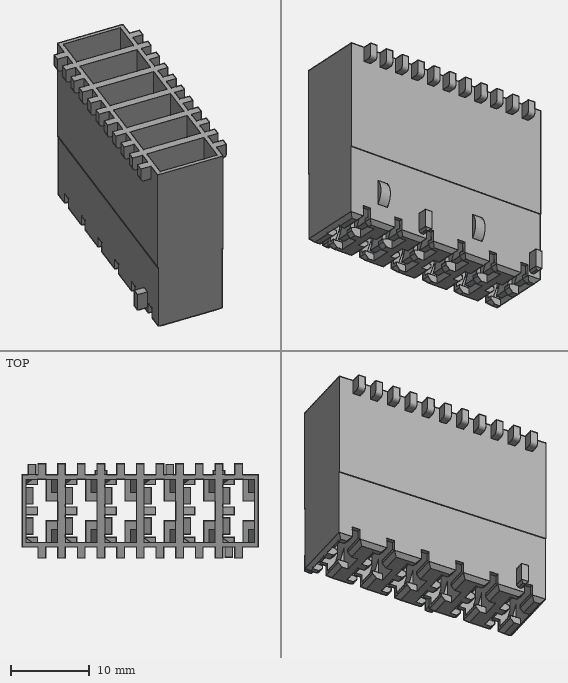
import cadquery as cq

CELL_COUNT = 6
CELL_PITCH = 5.0
PARTITION = 1.0
CELL_LENGTH = CELL_PITCH - PARTITION
CELL_WIDTH = 8.0
HEIGHT = 25.0
LENGTH = CELL_COUNT * CELL_PITCH
UPPER_WIDTH = 9.2
LOWER_WIDTH = 9.0
STEP_Z = 10.0
FLOOR_TOP = 1.0
BOTTOM_CHAMFER = 0.55

SLOT_WIDTH = 1.1
SLOT_HEIGHT = 2.05

SMALL_OPENING_INNER = 0.5
SMALL_OPENING_OUTER = 3.35
LARGE_OPENING_HALF = 1.25

LATCH_DEPTH = 0.9
LATCH_HEIGHT = 3.4
LATCH_LENGTH = 2.15
GUIDE_DEPTH = 0.75
GUIDE_HEIGHT = 3.0
GUIDE_LENGTH = 1.65
BAR_RISE = 0.5
GUSSET_X = 0.75
GUSSET_Y = 0.55
GUSSET_Z = 2.2

RIB_PITCH = CELL_PITCH / 2
RIB_COUNT = 2 * CELL_COUNT - 1
RIB_WIDTH = 1.0
RIB_HEIGHT = 2.05
RIB_FILLET = 0.5
RIB_REACH = 6.0

PEG_WIDTH = 1.0
PEG_BOTTOM = 1.0
PEG_TOP = 3.8
PEG_REACH = 5.9
PEG_CHAMFER = 0.3
BACK_PEG_X = (-13.75, 3.75)
FRONT_PEG_X = 11.25
BUMP_X = (-5.0, 10.0)
BUMP_LENGTH = 1.5
BUMP_Z = 4.75
BUMP_RADIUS = 2.6
BUMP_REACH = 5.15

FRONT = -1
BACK = 1
CELL_CENTERS = [(i - (CELL_COUNT - 1) / 2) * CELL_PITCH for i in range(CELL_COUNT)]


def box(x0, x1, y0, y1, z0, z1):
    """Axis-aligned box given by its limits; the Y limits may come in either order."""
    low, high = sorted((y0, y1))
    return cq.Workplane("XY").box(x1 - x0, high - low, z1 - z0, centered=False).translate((x0, low, z0))


def wedge(corner_x, base_z, depth, height, y0, y1):
    """Right-angled wedge along Y with its upright face at corner_x; depth is signed along X."""
    low, high = sorted((y0, y1))
    profile = [(corner_x, base_z), (corner_x + depth, base_z), (corner_x, base_z + height)]
    return cq.Workplane("XZ").polyline(profile).close().extrude(low - high).translate((0, low, 0))


def corner_gusset(x, y, side):
    """Three-sided pyramid filling the floor corner at (x, y)."""
    base = [
        (x, y, FLOOR_TOP),
        (x + GUSSET_X, y, FLOOR_TOP),
        (x, y - side * GUSSET_Y, FLOOR_TOP),
    ]
    apex = (x, y, FLOOR_TOP + GUSSET_Z)
    triangles = [base] + [[base[i], base[(i + 1) % 3], apex] for i in range(3)]
    faces = []
    for triangle in triangles:
        corners = [cq.Vector(*point) for point in triangle]
        faces.append(cq.Face.makeFromWires(cq.Wire.makePolygon(corners, close=True)))
    return cq.Workplane(obj=cq.Solid.makeSolid(cq.Shell.makeShell(faces)))


def housing():
    """Outer block with its small step, standing on chamfered feet between the slots."""
    end = LENGTH / 2
    upper = box(-end, end, -UPPER_WIDTH / 2, UPPER_WIDTH / 2, STEP_Z, HEIGHT)
    lower = box(-end, end, -LOWER_WIDTH / 2, LOWER_WIDTH / 2, SLOT_HEIGHT, STEP_Z)
    body = upper.union(lower)
    foot_starts = [-end] + [x + SLOT_WIDTH / 2 for x in CELL_CENTERS]
    foot_ends = [x - SLOT_WIDTH / 2 for x in CELL_CENTERS] + [end]
    for x0, x1 in zip(foot_starts, foot_ends):
        foot = box(x0, x1, -LOWER_WIDTH / 2, LOWER_WIDTH / 2, 0, SLOT_HEIGHT)
        body = body.union(foot.faces("<Z").chamfer(BOTTOM_CHAMFER))
    return body


def cell_cavity(x):
    """Blocks to remove for one cell: the space above the floor and three openings through the floor."""
    left = x - CELL_LENGTH / 2
    right = x + CELL_LENGTH / 2
    openings = [
        box(left, right, -CELL_WIDTH / 2, CELL_WIDTH / 2, FLOOR_TOP, HEIGHT),
        box(x, right, -LARGE_OPENING_HALF, LARGE_OPENING_HALF, 0, FLOOR_TOP),
    ]
    for side in (FRONT, BACK):
        openings.append(box(left, x, side * SMALL_OPENING_INNER, side * SMALL_OPENING_OUTER, 0, FLOOR_TOP))
    return openings


def cell_details(x):
    """Sloped bar, latches, guides and corner gussets on the floor and walls of one cell."""
    left = x - CELL_LENGTH / 2
    right = x + CELL_LENGTH / 2
    bar_depth = (CELL_LENGTH - SLOT_WIDTH) / 2
    details = [wedge(left, FLOOR_TOP, bar_depth, BAR_RISE, -SMALL_OPENING_INNER, SMALL_OPENING_INNER)]
    latch_middle = (SMALL_OPENING_INNER + SMALL_OPENING_OUTER) / 2
    latch_start = latch_middle - LATCH_LENGTH / 2
    for side in (FRONT, BACK):
        wall_y = side * CELL_WIDTH / 2
        latch_inner = side * latch_start
        latch_outer = latch_inner + side * LATCH_LENGTH
        details.append(wedge(left, FLOOR_TOP, LATCH_DEPTH, LATCH_HEIGHT, latch_inner, latch_outer))
        guide_end = wall_y - side * GUIDE_LENGTH
        details.append(wedge(right, FLOOR_TOP, -GUIDE_DEPTH, GUIDE_HEIGHT, guide_end, wall_y))
        details.append(corner_gusset(left, wall_y, side))
    return details


def rim_rib(x, side):
    """Short rib at the rim, rounded along its lower outer edge."""
    wall_y = side * CELL_WIDTH / 2
    half = RIB_WIDTH / 2
    rib = box(x - half, x + half, wall_y, side * RIB_REACH, HEIGHT - RIB_HEIGHT, HEIGHT)
    outer_face = ">Y" if side == BACK else "<Y"
    return rib.faces(outer_face).edges("<Z").fillet(RIB_FILLET)


def keying_peg(x, side):
    """Peg standing out from the lower wall, chamfered around its lower end."""
    wall_y = side * CELL_WIDTH / 2
    half = PEG_WIDTH / 2
    peg = box(x - half, x + half, wall_y, side * PEG_REACH, PEG_BOTTOM, PEG_TOP)
    return peg.faces("<Z").chamfer(PEG_CHAMFER)


def back_bump(x):
    """Part-cylinder bump along X on the back wall."""
    axis_y = BUMP_REACH - BUMP_RADIUS
    half = BUMP_LENGTH / 2
    cylinder = cq.Workplane("YZ").center(axis_y, BUMP_Z).circle(BUMP_RADIUS).extrude(BUMP_LENGTH)
    outside = box(x - half, x + half, CELL_WIDTH / 2, RIB_REACH, 0, STEP_Z)
    return cylinder.translate((x - half, 0, 0)).intersect(outside)


cavities = []
additions = []
for cell_x in CELL_CENTERS:
    cavities += cell_cavity(cell_x)
    additions += cell_details(cell_x)
for index in range(RIB_COUNT):
    rib_x = (index - (RIB_COUNT - 1) / 2) * RIB_PITCH
    additions += [rim_rib(rib_x, side) for side in (FRONT, BACK)]
additions += [keying_peg(peg_x, BACK) for peg_x in BACK_PEG_X]
additions.append(keying_peg(FRONT_PEG_X, FRONT))
additions += [back_bump(bump_x) for bump_x in BUMP_X]

hollow_housing = housing().val().cut(*[cavity.val() for cavity in cavities])
result = cq.Workplane(obj=hollow_housing.fuse(*[addition.val() for addition in additions])).clean()